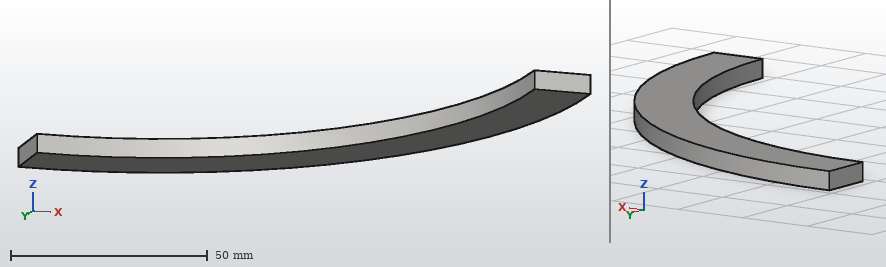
import cadquery as cq
import math

OUTER_RADIUS = 115.0
BAND_WIDTH = 15.0
THICKNESS = 5.0

INNER_RADIUS = OUTER_RADIUS - BAND_WIDTH


def point_at_mid_angle(radius):
    """Point halfway along a quarter circle about the origin."""
    offset = radius * math.sqrt(0.5)
    return (offset, offset)


def quarter_ring():
    """Flat quarter ring in the +X +Y quadrant, centred on the origin."""
    return (
        cq.Workplane("XY")
        .moveTo(INNER_RADIUS, 0)
        .lineTo(OUTER_RADIUS, 0)
        .threePointArc(point_at_mid_angle(OUTER_RADIUS), (0, OUTER_RADIUS))
        .lineTo(0, INNER_RADIUS)
        .threePointArc(point_at_mid_angle(INNER_RADIUS), (INNER_RADIUS, 0))
        .close()
        .extrude(THICKNESS)
    )


result = quarter_ring()